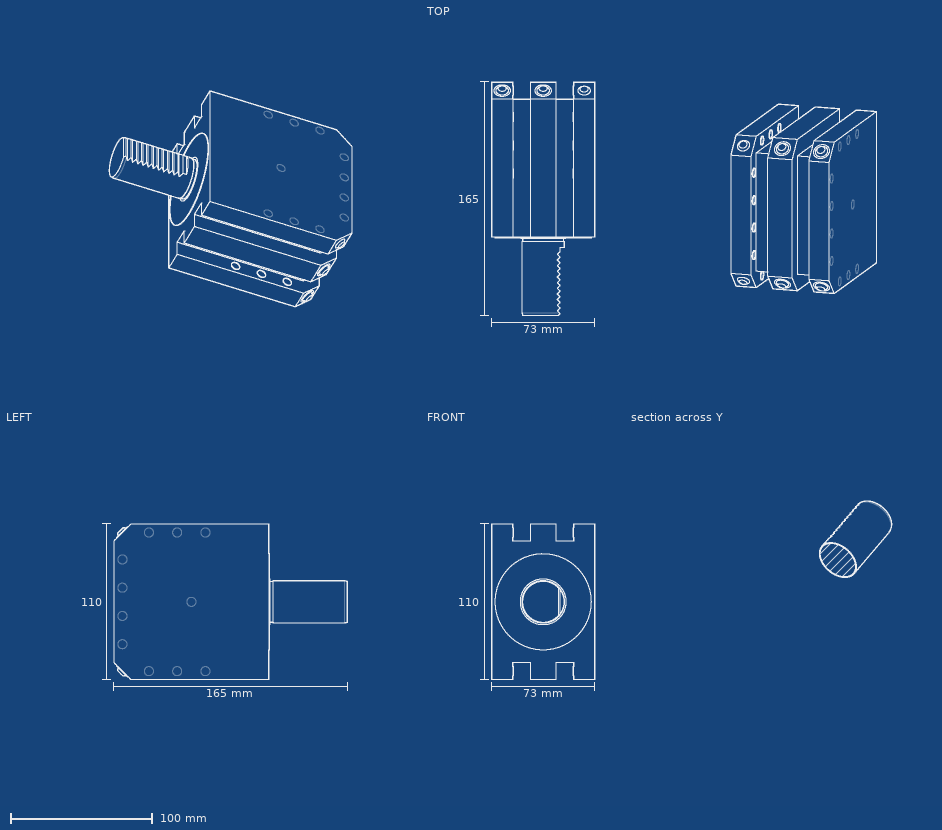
import cadquery as cq

WIDTH = 73.0
BODY_LENGTH = 109.5
HEIGHT = 110.0
CORNER_CHAMFER = 12.0

RIB_WIDTH = 18.2
OUTER_WALL = 15.0
SLOT_DEPTH = 12.0

TOTAL_LENGTH = 165.0
SHANK_DIAMETER = 30.0
NECK_DIAMETER = 29.0
NECK_LENGTH = 3.0
TIP_CHAMFER_LENGTH = 2.0
FLAT_OFFSET = 12.0
FLAT_START = 7.5
FIRST_TOOTH_PEAK = 14.2
TOOTH_RUN = 40.0
TOOTH_PITCHES_IN_RUN = 10

DISC_DIAMETER = 68.0
DISC_HEIGHT = 0.5
SHANK_RING_CENTER_DIAMETER = 30.9
SHANK_RING_THICKNESS = 2.1
SHANK_RING_PROTRUSION = 0.3

PIN_DIAMETER = 6.5
PIN_PROTRUSION = 0.5
PIN_PITCH = 20.0
PIN_ROW_START = 24.8
EDGE_PINS = 3
BACK_PINS = 4

NOZZLE_BASE_DIAMETER = 8.7
NOZZLE_TOP_DIAMETER = 5.8
RINGED_NOZZLE_HEIGHT = 2.1
PLAIN_NOZZLE_HEIGHT = 1.5
NOZZLE_RING_CENTER_DIAMETER = 10.2
NOZZLE_RING_THICKNESS = 1.6
NOZZLE_RING_PROTRUSION = 0.3

HALF_WIDTH = WIDTH / 2
HALF_HEIGHT = HEIGHT / 2
SHANK_LENGTH = TOTAL_LENGTH - BODY_LENGTH
WALL_CENTER = HALF_WIDTH - OUTER_WALL / 2
SLOT_INNER = RIB_WIDTH / 2
SLOT_WIDTH = HALF_WIDTH - OUTER_WALL - SLOT_INNER


def make_body():
    """Block with chamfered back corners and two slots around three sides."""
    block = (
        cq.Workplane("XY")
        .box(WIDTH, BODY_LENGTH, HEIGHT, centered=(True, False, True))
        .edges("|X and >Y")
        .chamfer(CORNER_CHAMFER)
    )
    floor_length = BODY_LENGTH - SLOT_DEPTH
    floor_height = HEIGHT - 2 * SLOT_DEPTH
    slot_center = SLOT_INNER + SLOT_WIDTH / 2
    for side in (-1, 1):
        slot = cq.Workplane("XY").box(SLOT_WIDTH, BODY_LENGTH, HEIGHT, centered=(True, False, True))
        core = cq.Workplane("XY").box(SLOT_WIDTH, floor_length, floor_height, centered=(True, False, True))
        block = block.cut(slot.cut(core).translate((side * slot_center, 0, 0)))
    return block


def make_shank():
    """Round shank, turned about Y, with its toothed flat on the +X side."""
    radius = SHANK_DIAMETER / 2
    neck_radius = NECK_DIAMETER / 2
    profile = [
        (0, 0),
        (neck_radius, 0),
        (neck_radius, -NECK_LENGTH),
        (radius, -NECK_LENGTH),
        (radius, TIP_CHAMFER_LENGTH - SHANK_LENGTH),
        (neck_radius, -SHANK_LENGTH),
        (0, -SHANK_LENGTH),
    ]
    shank = cq.Workplane("XY").polyline(profile).close().revolve(360, (0, 0, 0), (0, 1, 0))

    pitch = TOOTH_RUN / TOOTH_PITCHES_IN_RUN
    valley_offset = FLAT_OFFSET - pitch / 2
    outline = [(SHANK_DIAMETER, -FLAT_START), (FLAT_OFFSET, -FLAT_START)]
    outline.append((FLAT_OFFSET, pitch - FIRST_TOOTH_PEAK))
    peak_count = TOOTH_PITCHES_IN_RUN + 1
    for tooth in range(peak_count + 1):
        peak_y = -FIRST_TOOTH_PEAK - tooth * pitch
        outline.append((valley_offset, peak_y + pitch / 2))
        outline.append((FLAT_OFFSET, peak_y))
    outline.append((SHANK_DIAMETER, peak_y))
    teeth = cq.Workplane("XY").polyline(outline).close().extrude(SHANK_DIAMETER, both=True)
    return shank.cut(teeth)


def make_disc():
    return cq.Workplane("XZ").circle(DISC_DIAMETER / 2).extrude(DISC_HEIGHT)


def make_ring(center, axis, center_diameter, thickness):
    ring = cq.Solid.makeTorus(center_diameter / 2, thickness / 2, cq.Vector(*center), cq.Vector(*axis))
    return cq.Workplane(ring)


def make_nozzle(x, top_side, with_ring):
    """Conical nozzle square to a corner chamfer, at its middle, with an optional sealing ring."""
    middle = (x, BODY_LENGTH - CORNER_CHAMFER / 2, top_side * (HALF_HEIGHT - CORNER_CHAMFER / 2))
    outward = cq.Vector(0, 1, top_side).normalized()
    height = RINGED_NOZZLE_HEIGHT if with_ring else PLAIN_NOZZLE_HEIGHT
    cone = cq.Solid.makeCone(
        NOZZLE_BASE_DIAMETER / 2, NOZZLE_TOP_DIAMETER / 2, height, cq.Vector(*middle), outward
    )
    nozzle = cq.Workplane(cone)
    if with_ring:
        ring_depth = NOZZLE_RING_THICKNESS / 2 - NOZZLE_RING_PROTRUSION
        ring_center = cq.Vector(*middle) - outward * ring_depth
        ring = make_ring(
            ring_center.toTuple(), outward.toTuple(), NOZZLE_RING_CENTER_DIAMETER, NOZZLE_RING_THICKNESS
        )
        nozzle = nozzle.union(ring)
    return nozzle


def pin_places():
    """(Y, Z) places of the wall pins, along the middle of the slot depth."""
    inset = SLOT_DEPTH / 2
    places = []
    for index in range(EDGE_PINS):
        y = BODY_LENGTH - PIN_ROW_START - index * PIN_PITCH
        places += [(y, HALF_HEIGHT - inset), (y, inset - HALF_HEIGHT)]
    for index in range(BACK_PINS):
        z = (index - (BACK_PINS - 1) / 2) * PIN_PITCH
        places.append((BODY_LENGTH - inset, z))
    return places


def make_pins():
    """Pins flush with the outer sides that stand out slightly into the slots."""
    pin_length = OUTER_WALL + PIN_PROTRUSION
    left = cq.Workplane("YZ", origin=(-HALF_WIDTH, 0, 0)).pushPoints(pin_places())
    left = left.circle(PIN_DIAMETER / 2).extrude(pin_length)
    return left.union(left.mirror("YZ"))


def make_center_pin():
    """Pin across the whole width at the middle of the body, flush at both ends."""
    pin = cq.Workplane("YZ", origin=(0, BODY_LENGTH / 2, 0)).circle(PIN_DIAMETER / 2)
    return pin.extrude(HALF_WIDTH, both=True)


result = make_body().union(make_disc()).union(make_shank())

shank_ring_y = SHANK_RING_THICKNESS / 2 - SHANK_RING_PROTRUSION - DISC_HEIGHT
result = result.union(
    make_ring((0, shank_ring_y, 0), (0, 1, 0), SHANK_RING_CENTER_DIAMETER, SHANK_RING_THICKNESS)
)

for top_side in (-1, 1):
    for x, with_ring in ((-WALL_CENTER, True), (0, True), (WALL_CENTER, False)):
        result = result.union(make_nozzle(x, top_side, with_ring))

result = result.union(make_pins(), clean=False).union(make_center_pin(), clean=False)